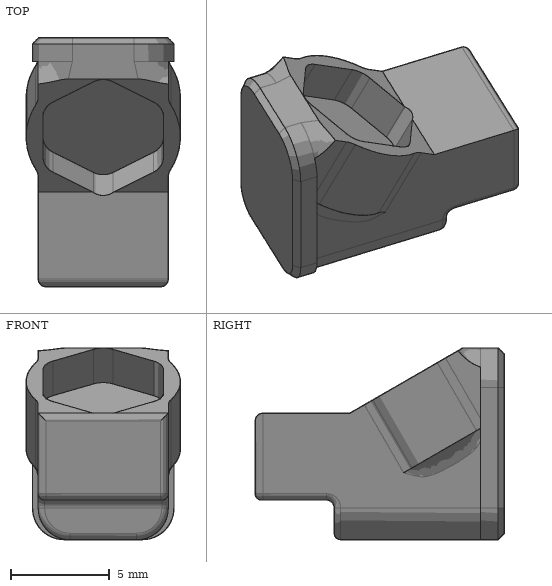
import cadquery as cq
import math

LENGTH = 12.6
HEIGHT = 9.7

BODY_WIDTH = 6.58
NOSE_TOP = 6.4
NOSE_BOTTOM = 2.0
STEP_Y = -8.6
SLOPE_FOOT_Y = -7.81
SLOPE_ANGLE = math.radians(30)
BOTTOM_CORNER_RADIUS = 1.6
NOSE_ROUNDING = 0.4
LOWER_ROUNDING = 0.33
STEP_INNER_RADIUS = 0.39

FLANGE_WIDTH = 7.16
FLANGE_THICKNESS = 1.21
FLANGE_CHAMFER = 0.32
FLANGE_TOP_RADIUS = 2.02

BLEND_LENGTH = 1.16
BLEND_FLAT_HALF_WIDTH = 1.83
BLEND_END_DROP = 0.18

BOSS_DIAMETER = 7.8
BOSS_DEPTH = 3.97
BOSS_CENTRE_Y = -5.03
NECK_RADIUS = 1.0
TAPER_SECTIONS = 17
TAPER_END_RATIO = 0.98
WALL_OVERLAP = 0.13
HEX_ACROSS_FLATS = 6.09
HEX_CORNER_RADIUS = 1.0
POCKET_DEPTH = 2.02

HALF_WIDTH = BODY_WIDTH / 2
BOSS_RADIUS = BOSS_DIAMETER / 2
FLANGE_FRONT_Y = -FLANGE_THICKNESS
SLOPE_TOP_Y = SLOPE_FOOT_Y + (HEIGHT - NOSE_TOP) / math.tan(SLOPE_ANGLE)
BOSS_CENTRE_Z = NOSE_TOP + (BOSS_CENTRE_Y - SLOPE_FOOT_Y) * math.tan(SLOPE_ANGLE)
CLEARANCE = 1.26

SLOPE_PLANE = cq.Plane(
    origin=(0, BOSS_CENTRE_Y, BOSS_CENTRE_Z),
    xDir=(1, 0, 0),
    normal=(0, -math.sin(SLOPE_ANGLE), math.cos(SLOPE_ANGLE)),
)


def make_body():
    """Side profile with a sloping face and an undercut nose."""
    body = (
        cq.Workplane("YZ")
        .moveTo(0, 0)
        .lineTo(0, HEIGHT)
        .lineTo(SLOPE_TOP_Y, HEIGHT)
        .lineTo(SLOPE_FOOT_Y, NOSE_TOP)
        .lineTo(-LENGTH, NOSE_TOP)
        .lineTo(-LENGTH, NOSE_BOTTOM)
        .lineTo(STEP_Y, NOSE_BOTTOM)
        .lineTo(STEP_Y, 0)
        .close()
        .extrude(HALF_WIDTH, both=True)
    )
    body = body.edges("|Y and <Z").fillet(BOTTOM_CORNER_RADIUS)
    step_corner = cq.selectors.NearestToPointSelector((0, STEP_Y, NOSE_BOTTOM))
    body = body.edges(step_corner).fillet(STEP_INNER_RADIUS)
    body = body.faces("<Y").edges("|Z or >Z").fillet(NOSE_ROUNDING)
    lower_edge = cq.selectors.NearestToPointSelector((0, STEP_Y, 0))
    return body.edges(lower_edge).fillet(LOWER_ROUNDING)


def cut_corner_blends(body):
    """Ruled surfaces that lead from the flange's top corners out to the body's corners."""
    arc_x = FLANGE_WIDTH / 2 - FLANGE_TOP_RADIUS
    arc_z = HEIGHT - FLANGE_TOP_RADIUS
    diagonal = FLANGE_TOP_RADIUS * math.sqrt(0.5)
    end_x = FLANGE_WIDTH / 2
    end_middle_x = (BLEND_FLAT_HALF_WIDTH + end_x) / 2
    waste = (
        cq.Workplane("XZ", origin=(0, FLANGE_FRONT_Y, 0))
        .moveTo(arc_x, HEIGHT)
        .threePointArc((arc_x + diagonal, arc_z + diagonal), (end_x, arc_z))
        .lineTo(end_x, HEIGHT)
        .close()
        .workplane(offset=BLEND_LENGTH)
        .moveTo(BLEND_FLAT_HALF_WIDTH, HEIGHT)
        .threePointArc((end_middle_x, HEIGHT - BLEND_END_DROP / 4), (end_x, HEIGHT - BLEND_END_DROP))
        .lineTo(end_x, HEIGHT)
        .close()
        .loft(ruled=True)
    )
    return body.cut(waste).cut(waste.mirror("YZ"))


def make_flange_block():
    """Sharp-edged block that fills the space of the flange."""
    block = cq.Workplane("XY").box(
        FLANGE_WIDTH, FLANGE_THICKNESS, HEIGHT, centered=(True, False, False)
    )
    return block.translate((0, FLANGE_FRONT_Y, 0))


def make_flange():
    """Rounded rear plate with a chamfered back edge."""
    flange = make_flange_block()
    flange = flange.edges("|Y and >Z").fillet(FLANGE_TOP_RADIUS)
    flange = flange.edges("|Y and <Z").fillet(BOTTOM_CORNER_RADIUS)
    return flange.faces(">Y").edges().chamfer(FLANGE_CHAMFER)


def make_taper(neck_x, neck_y, touch_y):
    """Concave arcs from the lower rim of a bulge down to the wall, lofted along the slope."""
    sections = []
    for step in range(TAPER_SECTIONS):
        turn = math.pi * (step / (TAPER_SECTIONS - 1) - 0.5)
        along = TAPER_END_RATIO * neck_y * math.sin(turn)
        if abs(along) < touch_y:
            rim_x = math.sqrt(BOSS_RADIUS**2 - along**2)
        else:
            rim_x = neck_x - math.sqrt(NECK_RADIUS**2 - (neck_y - abs(along)) ** 2)
        arc_angle = math.acos((neck_x - rim_x) / NECK_RADIUS)
        depth = NECK_RADIUS * math.sin(arc_angle)
        middle_x = neck_x - NECK_RADIUS * math.cos(arc_angle / 2)
        middle_depth = depth - NECK_RADIUS * math.sin(arc_angle / 2)
        section_plane = cq.Plane(
            origin=SLOPE_PLANE.toWorldCoords((0, along, -BOSS_DEPTH)),
            xDir=SLOPE_PLANE.xDir,
            normal=-SLOPE_PLANE.yDir,
        )
        section = (
            cq.Workplane(section_plane)
            .moveTo(HALF_WIDTH - WALL_OVERLAP, 0)
            .lineTo(rim_x, 0)
            .threePointArc((middle_x, -middle_depth), (HALF_WIDTH, -depth))
            .lineTo(HALF_WIDTH - WALL_OVERLAP, -depth)
            .close()
        )
        sections.append(section.val())
    return cq.Workplane(cq.Solid.makeLoft(sections, False))


def make_boss():
    """Side bulges: a cylinder eased into the body walls and tapered below by a concave arc."""
    neck_x = HALF_WIDTH + NECK_RADIUS
    neck_y = math.sqrt((BOSS_RADIUS + NECK_RADIUS) ** 2 - neck_x**2)
    touch_ratio = BOSS_RADIUS / (BOSS_RADIUS + NECK_RADIUS)
    touch_x = neck_x * touch_ratio
    touch_y = neck_y * touch_ratio
    half_turn = math.atan2(neck_y - touch_y, neck_x - touch_x) / 2
    middle_x = neck_x - NECK_RADIUS * math.cos(half_turn)
    middle_y = neck_y - NECK_RADIUS * math.sin(half_turn)

    bulge = (
        cq.Workplane(SLOPE_PLANE)
        .moveTo(0, -neck_y)
        .lineTo(HALF_WIDTH, -neck_y)
        .threePointArc((middle_x, -middle_y), (touch_x, -touch_y))
        .threePointArc((BOSS_RADIUS, 0), (touch_x, touch_y))
        .threePointArc((middle_x, middle_y), (HALF_WIDTH, neck_y))
        .lineTo(0, neck_y)
        .close()
        .extrude(-BOSS_DEPTH)
    )
    bulge = bulge.union(make_taper(neck_x, neck_y, touch_y))
    bulge = bulge.union(bulge.mirror("YZ"))
    ahead_of_flange = cq.Workplane("XY").box(
        2 * LENGTH, LENGTH, HEIGHT, centered=(True, False, False)
    ).translate((0, FLANGE_FRONT_Y - LENGTH, 0))
    core = cq.Workplane("XY").box(BODY_WIDTH, 2 * LENGTH, 2 * LENGTH)
    return bulge.intersect(ahead_of_flange).cut(core)


def make_pocket():
    """Hexagonal recess with two flats facing the sides, continued outward past the slope."""
    across_corners = HEX_ACROSS_FLATS / math.cos(math.radians(30))
    pocket = (
        cq.Workplane(SLOPE_PLANE)
        .workplane(offset=-POCKET_DEPTH)
        .transformed(rotate=(0, 0, 90))
        .polygon(6, across_corners)
        .extrude(POCKET_DEPTH + CLEARANCE)
    )
    corner_edges = cq.selectors.ParallelDirSelector(SLOPE_PLANE.zDir)
    return pocket.edges(corner_edges).fillet(HEX_CORNER_RADIUS)


body = cut_corner_blends(make_body())
body = body.cut(make_flange_block()).union(make_flange())
result = body.union(make_boss()).cut(make_pocket())